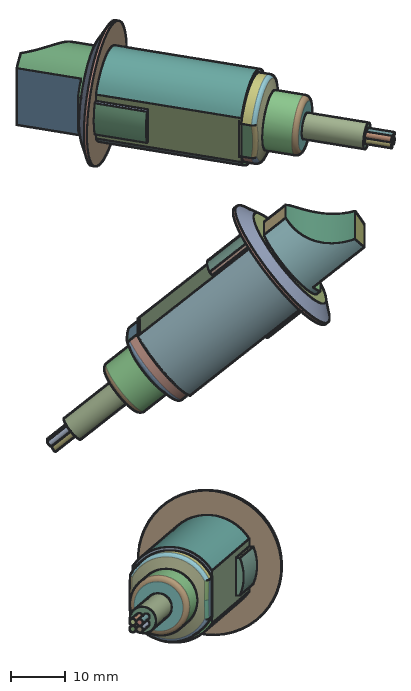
import cadquery as cq


tip_notch_end = 12.2
flange_front = 13.25
flange_rim_start = 15.0
flange_back = 15.6
tab_end = 25.5
recess_start = 42.7
housing_end = 43.15
boss_start = 46.6
boss_end = 53.2
cable_end = 64.85
wire_end = 69.8

flat_offset = 7.47
core_radius = 8.32
barrel_radius = 8.95
flange_radius = 13.5
flange_face_radius = 10.4
boss_radius = 5.62
cable_radius = 2.48

window_y = -5.35
lip_y = -2.62
scoop_end_x = 8.05
scoop_radius = 12.5

tab_width = 7.0
cap_shoulder_x = 45.72
cap_rim_fillet = 0.9
plug_flat_inset = 0.1
boss_fillet = 1.0
wire_radius = 0.61
wire_pitch = 1.3


def cylinder(radius, start, end):
    """Cylinder about the X axis between two stations."""
    return cq.Workplane("YZ").workplane(offset=start).circle(radius).extrude(end - start)


def slab(half_width, start, end):
    """Block between the planes Y = -half_width and Y = +half_width, taller than the part."""
    height = 2 * flange_radius
    return (
        cq.Workplane("XY")
        .box(end - start, 2 * half_width, height, centered=(False, True, True))
        .translate((start, 0, 0))
    )


def flattened_cylinder(radius, start, end, half_width=flat_offset):
    """Cylinder about the X axis with two side flats."""
    return cylinder(radius, start, end).intersect(slab(half_width, start, end))


def revolve_about_axis(outline):
    """Revolve an outline of (X, radius) points about the X axis."""
    return cq.Workplane("XY").polyline(outline).close().revolve(360, (0, 0, 0), (1, 0, 0))


def make_tip():
    tip = flattened_cylinder(core_radius, 0, flange_back)

    window = (
        cq.Workplane("XY")
        .box(tip_notch_end, core_radius, 2 * core_radius, centered=(False, False, True))
        .translate((0, window_y - core_radius, 0))
    )

    scoop = (
        cq.Workplane("XY")
        .workplane(offset=-core_radius)
        .moveTo(0, lip_y)
        .radiusArc((scoop_end_x, flat_offset), -scoop_radius)
        .lineTo(scoop_end_x, core_radius)
        .lineTo(0, core_radius)
        .close()
        .extrude(2 * core_radius)
    )
    return tip.cut(window).cut(scoop)


def make_flange():
    return revolve_about_axis([
        (flange_front, 0),
        (flange_front, flange_face_radius),
        (flange_rim_start, flange_radius),
        (flange_back, flange_radius),
        (flange_back, 0),
    ])


def make_tabs():
    """Raised strips on both flats, rounded to the barrel radius."""
    length = tab_end - flange_back
    strip = (
        cq.Workplane("XY")
        .box(length, 2 * barrel_radius, tab_width, centered=(False, True, True))
        .translate((flange_back, 0, 0))
    )
    return strip.intersect(cylinder(barrel_radius, flange_back, tab_end))


def make_housing():
    barrel = flattened_cylinder(barrel_radius, flange_back, housing_end)
    housing = make_flange().union(make_tip()).union(barrel).union(make_tabs())
    cap_recess = cylinder(core_radius, recess_start, housing_end)
    return housing.cut(cap_recess)


def make_cap():
    sloped_end = revolve_about_axis([
        (housing_end, 0),
        (housing_end, core_radius),
        (cap_shoulder_x, core_radius),
        (boss_start, boss_radius),
        (boss_start, 0),
    ]).intersect(slab(flat_offset, housing_end, boss_start))

    rim_region = cq.selectors.BoxSelector(
        (cap_shoulder_x - cap_rim_fillet, -flange_radius, -flange_radius),
        (boss_start - cap_rim_fillet / 2, flange_radius, flange_radius),
    )
    sloped_end = sloped_end.edges(rim_region).fillet(cap_rim_fillet)

    boss = cylinder(boss_radius, boss_start, boss_end).faces(">X").edges().fillet(boss_fillet)
    plug = flattened_cylinder(core_radius, recess_start, housing_end, flat_offset - plug_flat_inset)
    return plug.union(sloped_end).union(boss)


def make_wires():
    half_pitch = wire_pitch / 2
    wires = []
    for y in (-half_pitch, half_pitch):
        for z in (-half_pitch, half_pitch):
            wires.append(cylinder(wire_radius, cable_end, wire_end).translate((0, y, z)))
    return wires


housing = make_housing()
cap = make_cap()
cable = cylinder(cable_radius, boss_end, cable_end)
wires = make_wires()

result = cq.Compound.makeCompound(
    [housing.val(), cap.val(), cable.val(), *[wire.val() for wire in wires]]
)